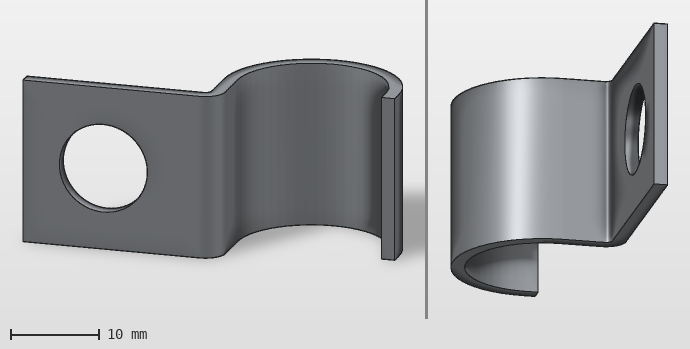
import cadquery as cq

length = 42.0
depth = 17.4
width = 19.05
thickness = 1.55

saddle_radius = 10.25
lip_length = 1.55
bend_inner_radius = 0.75
hole_diameter = 10.35
hole_x = 9.45

saddle_inner_radius = saddle_radius - thickness
bend_radius = bend_inner_radius + thickness
saddle_x = length - saddle_radius
saddle_y = depth - saddle_radius
lip_y = saddle_y - lip_length
leg_outer_x = saddle_x - saddle_radius
leg_inner_x = leg_outer_x + thickness
bend_x = leg_inner_x - bend_radius
bend_y = bend_radius


def make_strip():
    """Bent strip: flat tab, bend, straight leg, half-circle saddle and short lip."""
    return (
        cq.Workplane("XY")
        .moveTo(0, 0)
        .lineTo(bend_x, 0)
        .radiusArc((leg_inner_x, bend_y), -bend_radius)
        .lineTo(leg_inner_x, saddle_y)
        .threePointArc(
            (saddle_x, saddle_y + saddle_inner_radius),
            (saddle_x + saddle_inner_radius, saddle_y),
        )
        .lineTo(saddle_x + saddle_inner_radius, lip_y)
        .lineTo(length, lip_y)
        .lineTo(length, saddle_y)
        .threePointArc((saddle_x, depth), (leg_outer_x, saddle_y))
        .lineTo(leg_outer_x, bend_y)
        .radiusArc((bend_x, thickness), bend_inner_radius)
        .lineTo(0, thickness)
        .close()
        .extrude(width)
    )


def make_hole():
    """Round cutter through the tab, centred across the strip width."""
    return (
        cq.Workplane("XZ")
        .center(hole_x, width / 2)
        .circle(hole_diameter / 2)
        .extrude(-thickness)
    )


result = make_strip().cut(make_hole())